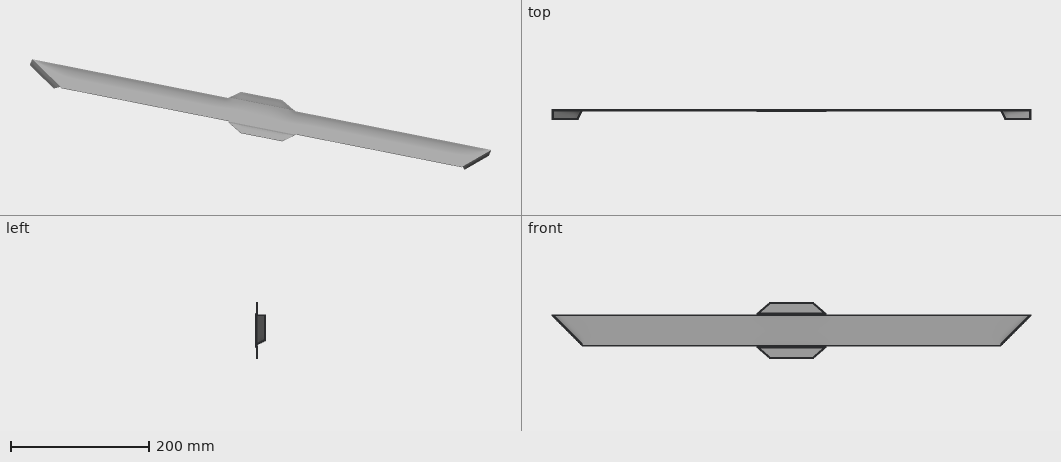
import cadquery as cq
import math

length = 693.5
strip_height = 44.5
sheet = 1.0
depth = 13.0

overall_height = 80.0
tab_root_width = 100.0
tab_tip_width = 62.5
step_rise = 1.5

flange_end_gap = 3.0
flange_corner_cut = 8.0

half_length = length / 2
half_height = strip_height / 2
strip_front = -sheet
tab_front = strip_front - sheet


def make_strip():
    half_bottom = half_length - strip_height
    outline = [
        (-half_length, half_height),
        (half_length, half_height),
        (half_bottom, -half_height),
        (-half_bottom, -half_height),
    ]
    return cq.Workplane("XZ").polyline(outline).close().extrude(sheet)


def make_upper_tab():
    """Flat tab joined to the strip's upper edge by a slanted step."""
    root = half_height + step_rise
    tip = overall_height / 2
    profile = [
        (0, half_height - sheet),
        (0, root),
        (strip_front, root + step_rise),
        (strip_front, tip),
        (tab_front, tip),
        (tab_front, root),
        (strip_front, half_height),
        (strip_front, half_height - sheet),
    ]
    bent_sheet = cq.Workplane("YZ").polyline(profile).close().extrude(tab_root_width / 2, both=True)
    outline = [
        (-tab_root_width / 2, 0),
        (-tab_root_width / 2, root),
        (-tab_tip_width / 2, tip),
        (tab_tip_width / 2, tip),
        (tab_root_width / 2, root),
        (tab_root_width / 2, 0),
    ]
    envelope = cq.Workplane("XZ").polyline(outline).close().extrude(depth)
    return bent_sheet.intersect(envelope)


def make_left_flange():
    """Flange square to the strip, running down its slanted left end."""
    flange_length = strip_height * math.sqrt(2) - flange_end_gap
    end_plane = cq.Plane(
        origin=(-half_length, 0, half_height),
        xDir=(1, 0, -1),
        normal=(1, 0, 1),
    )
    outline = [
        (0, 0),
        (flange_length, 0),
        (flange_length, strip_front),
        (flange_length - flange_corner_cut, -depth),
        (0, -depth),
    ]
    flange = cq.Workplane(end_plane).polyline(outline).close().extrude(sheet)
    trim = cq.Workplane("XY").box(length, 2 * depth, strip_height)
    return flange.intersect(trim)


upper_tab = make_upper_tab()
left_flange = make_left_flange()

result = (
    make_strip()
    .union(upper_tab)
    .union(upper_tab.mirror("XY"))
    .union(left_flange)
    .union(left_flange.mirror("YZ"))
)